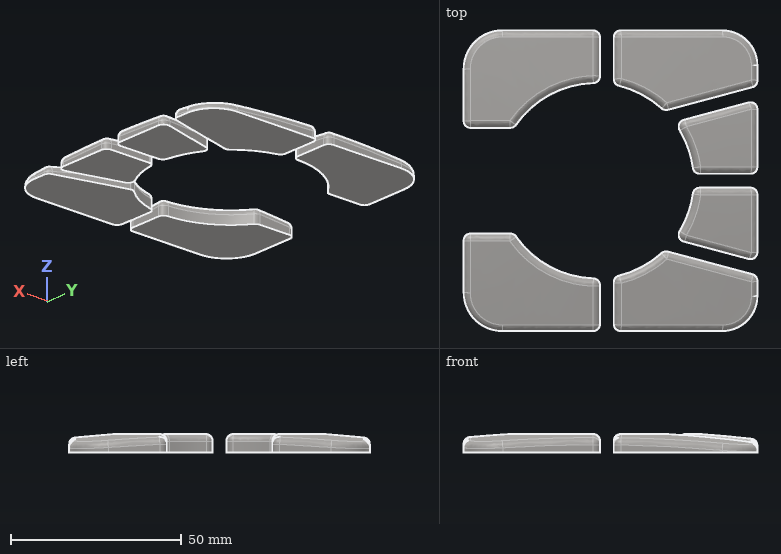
import cadquery as cq
import math

LENGTH_X = 86.4
LENGTH_Y = 88.4
EDGE_RADIUS = 2.1
GAP = 4.0

OPENING_RADIUS = 28.6
OPENING_X = -4.2

DOME_RADIUS = 415.5
DOME_APEX_Z = 6.6

LEFT_CORNER_RADIUS = 11.5
RIGHT_CORNER_RADIUS = 10.4

SPLIT_X = -1.1
LEFT_PAD_END_Y = 15.5
SLANT_ANGLE = 15.0
SLANT_X = 26.2
SLANT_Y = 21.2

HALF_X = LENGTH_X / 2
HALF_Y = LENGTH_Y / 2
SLANT_SLOPE = math.tan(math.radians(SLANT_ANGLE))
SLANT_HALF_GAP_Y = GAP / 2 / math.cos(math.radians(SLANT_ANGLE))


def slant_y(x, offset):
    """Y of the slanted gap's middle line at x, shifted by offset."""
    return SLANT_Y + SLANT_SLOPE * (x - SLANT_X) + offset


def is_large_corner_seam(edge, corner, corner_radius):
    """True for the tangent upright edges where a large rounded corner begins and ends."""
    if corner is None:
        return False
    middle = edge.Center()
    reach = corner_radius + EDGE_RADIUS / 2
    return math.hypot(middle.x - corner[0], middle.y - corner[1]) < reach


def make_pad(outline, corner=None, corner_radius=None):
    """Extrude a convex outline, then cut the opening, cap with the dome and round the edges.

    corner is the plan position of the outline vertex that gets the large corner_radius.
    """
    blank = cq.Workplane("XY").polyline(outline).close().extrude(DOME_APEX_Z)
    if corner is not None:
        nearest = cq.selectors.NearestToPointSelector((*corner, DOME_APEX_Z / 2))
        blank = blank.edges("|Z").edges(nearest).fillet(corner_radius)

    opening = cq.Workplane("XY").center(OPENING_X, 0).circle(OPENING_RADIUS).extrude(DOME_APEX_Z)
    dome = cq.Workplane("XY").sphere(DOME_RADIUS).translate((OPENING_X, 0, DOME_APEX_Z - DOME_RADIUS))
    pad = blank.cut(opening).intersect(dome)

    top_rim = pad.faces(">Z").edges().vals()
    uprights = [
        edge for edge in pad.edges("|Z").vals()
        if not is_large_corner_seam(edge, corner, corner_radius)
    ]
    return pad.newObject(top_rim + uprights).fillet(EDGE_RADIUS)


def left_corner_pad():
    """Corner pad on the -X, +Y side."""
    end_x = SPLIT_X - GAP / 2
    corner = (-HALF_X, HALF_Y)
    outline = [corner, (end_x, HALF_Y), (end_x, LEFT_PAD_END_Y), (-HALF_X, LEFT_PAD_END_Y)]
    return make_pad(outline, corner, LEFT_CORNER_RADIUS)


def right_corner_pad():
    """Corner pad on the +X, +Y side, cut by the slanted gap."""
    end_x = SPLIT_X + GAP / 2
    corner = (HALF_X, HALF_Y)
    outline = [
        (end_x, HALF_Y),
        corner,
        (HALF_X, slant_y(HALF_X, SLANT_HALF_GAP_Y)),
        (end_x, slant_y(end_x, SLANT_HALF_GAP_Y)),
    ]
    return make_pad(outline, corner, RIGHT_CORNER_RADIUS)


def side_pad():
    """Small pad on the +X side, between the slanted gap and the X axis."""
    outline = [
        (OPENING_X, GAP / 2),
        (HALF_X, GAP / 2),
        (HALF_X, slant_y(HALF_X, -SLANT_HALF_GAP_Y)),
        (OPENING_X, slant_y(OPENING_X, -SLANT_HALF_GAP_Y)),
    ]
    return make_pad(outline)


solids = []
for build_pad in (left_corner_pad, right_corner_pad, side_pad):
    pad = build_pad()
    solids.append(pad.solids().val())
    solids.append(pad.mirror("XZ").solids().val())

result = cq.Compound.makeCompound(solids)